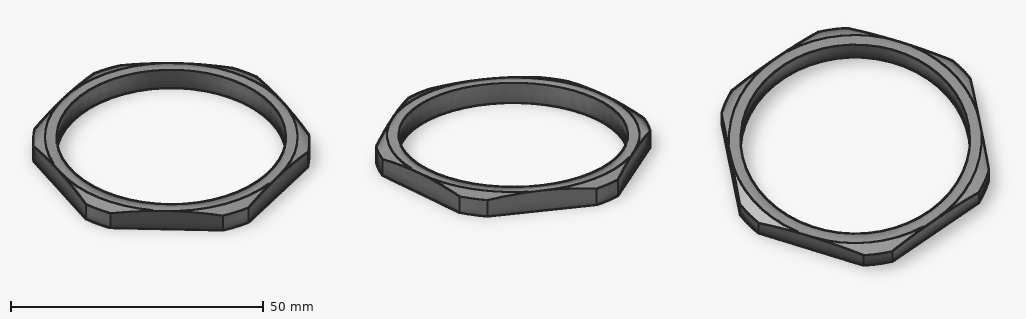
import cadquery as cq
import math

across_flats = 50.0
corner_diameter = 54.72
bore_diameter = 45.4
thickness = 4.5
chamfer_angle = 20.0

flat_radius = across_flats / 2
corner_radius = corner_diameter / 2
hexagon_diameter = across_flats / math.cos(math.radians(30))
chamfer_drop = (corner_radius - flat_radius) * math.tan(math.radians(chamfer_angle))


def hexagonal_prism():
    """Full hexagon with corners on the X axis and flats facing +Y and -Y."""
    return cq.Workplane("XY").polygon(6, hexagon_diameter).extrude(thickness)


def turned_envelope():
    """Cylinder that trims the corners, with a cone that meets the flats at the top face."""
    profile = (
        cq.Workplane("XZ")
        .lineTo(corner_radius, 0)
        .lineTo(corner_radius, thickness - chamfer_drop)
        .lineTo(flat_radius, thickness)
        .lineTo(0, thickness)
        .close()
    )
    return profile.revolve(360, (0, 0, 0), (0, 1, 0))


def bore():
    """Plain round hole through the whole thickness."""
    return cq.Workplane("XY").circle(bore_diameter / 2).extrude(thickness)


result = hexagonal_prism().intersect(turned_envelope()).cut(bore())